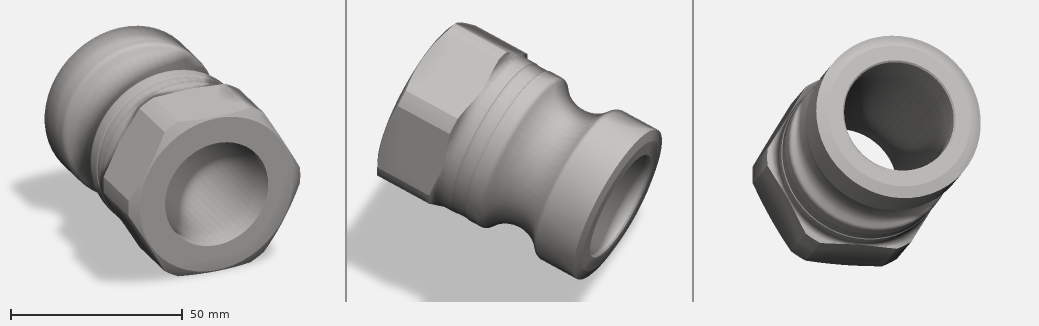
import cadquery as cq
import math

length = 68.0
bore_radius = 33.0 / 2
bore_chamfer = 0.5
body_radius = 49.5 / 2

nose_face_radius = 21.4
nose_chamfer_length = 0.95

groove_center_x = 23.6
groove_floor_radius = 38.95 / 2
groove_arc_radius = 10.9
groove_front_round = 2.5
groove_rear_round = 1.9

band_radius = 49.0 / 2
band_depth = body_radius - band_radius
band_start = 37.75
band_end = 42.7

hex_across_flats = 50.0
hex_corner_radius = 55.0 / 2
hex_sides = 6
hex_turn = 180 / hex_sides
hex_corner_start = 48.6
hex_front_angle = 15.0
hex_rear_face_radius = 24.55
hex_rear_chamfer_length = 1.6
neck_fillet = 1.85


def revolve_about_x(profile):
    """Revolve a closed (x, radius) profile around the part axis."""
    return profile.close().revolve(360, (0, 0, 0), (1, 0, 0))


def rounded_edge(side, radius):
    """Tangent points and arc middle of a groove edge; side is -1 for front, 1 for rear."""
    groove_center_r = groove_floor_radius + groove_arc_radius
    round_center_r = body_radius - radius
    rise = groove_center_r - round_center_r
    centers_distance = groove_arc_radius + radius
    reach = math.sqrt(centers_distance**2 - rise**2)
    round_center_x = groove_center_x + side * reach
    slope = math.atan2(reach, rise)

    def on_round(angle):
        return (
            round_center_x - side * radius * math.sin(angle),
            round_center_r + radius * math.cos(angle),
        )

    return on_round(0), on_round(slope / 2), on_round(slope)


def make_body():
    """Turned nose, cam groove and band, running to the rear face."""
    front_outer, front_middle, front_inner = rounded_edge(-1, groove_front_round)
    rear_outer, rear_middle, rear_inner = rounded_edge(1, groove_rear_round)
    profile = (
        cq.Workplane("XY")
        .moveTo(0, 0)
        .lineTo(0, nose_face_radius)
        .lineTo(nose_chamfer_length, body_radius)
        .lineTo(*front_outer)
        .threePointArc(front_middle, front_inner)
        .threePointArc((groove_center_x, groove_floor_radius), rear_inner)
        .threePointArc(rear_middle, rear_outer)
        .lineTo(band_start, body_radius)
        .lineTo(band_start + band_depth, band_radius)
        .lineTo(band_end - band_depth, band_radius)
        .lineTo(band_end, body_radius)
        .lineTo(hex_corner_start, body_radius)
        .lineTo(hex_corner_start, 0)
    )
    return revolve_about_x(profile)


def make_hexagon():
    """Hexagonal prism trimmed by a turned envelope with a filleted front neck."""
    cone_angle = math.radians(hex_front_angle)
    cone_foot_x = hex_corner_start - (hex_corner_radius - body_radius) * math.tan(cone_angle)
    turn = math.pi / 2 - cone_angle
    tangent_length = neck_fillet * math.tan(turn / 2)
    neck_x = cone_foot_x - tangent_length
    fillet_center_r = body_radius + neck_fillet

    def on_fillet(angle):
        return (
            neck_x + neck_fillet * math.sin(angle),
            fillet_center_r - neck_fillet * math.cos(angle),
        )

    envelope = revolve_about_x(
        cq.Workplane("XY")
        .moveTo(neck_x, 0)
        .lineTo(neck_x, body_radius)
        .threePointArc(on_fillet(turn / 2), on_fillet(turn))
        .lineTo(hex_corner_start, hex_corner_radius)
        .lineTo(length - hex_rear_chamfer_length, hex_corner_radius)
        .lineTo(length, hex_rear_face_radius)
        .lineTo(length, 0)
    )
    prism = (
        cq.Workplane("YZ")
        .workplane(offset=neck_x)
        .polygon(hex_sides, hex_across_flats, circumscribed=True)
        .extrude(length - neck_x)
        .rotate((0, 0, 0), (1, 0, 0), hex_turn)
    )
    return prism.intersect(envelope)


def make_bore():
    """Through bore with a chamfered mouth at the nose."""
    profile = (
        cq.Workplane("XY")
        .moveTo(0, 0)
        .lineTo(0, bore_radius + bore_chamfer)
        .lineTo(bore_chamfer, bore_radius)
        .lineTo(length, bore_radius)
        .lineTo(length, 0)
    )
    return revolve_about_x(profile)


result = make_body().union(make_hexagon()).cut(make_bore())